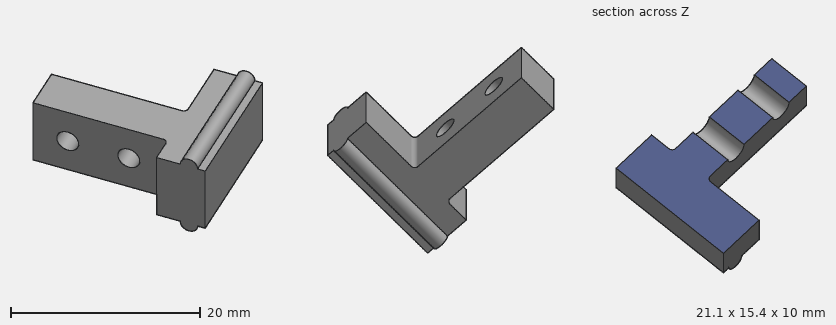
import cadquery as cq

length = 21.05
head_width = 15.45
overall_height = 10.0

ridge_diameter = 2.0
body_height = overall_height - ridge_diameter
head_thickness = 5.58
head_start = length - head_thickness
stem_width = 5.0
stem_front = 2.99
corner_fillet = 0.5

ridge_x = 19.18

hole_diameter = 2.5
first_hole_x = 4.0
hole_spacing = 7.0
hole_count = 2


def block(x_start, y_start, x_size, y_size):
    """Box of body height, centred on Z = 0."""
    return (
        cq.Workplane("XY")
        .box(x_size, y_size, body_height, centered=(False, False, True))
        .translate((x_start, y_start, 0))
    )


def cylinder_along_y(x, z, diameter):
    """Cylinder spanning the full head width."""
    return (
        cq.Workplane("XZ")
        .center(x, z)
        .circle(diameter / 2)
        .extrude(-head_width)
    )


stem = block(0, stem_front, length, stem_width)
head = block(head_start, 0, head_thickness, head_width)
inside_corners = cq.selectors.BoxSelector(
    (head_start - corner_fillet, stem_front - corner_fillet, -body_height),
    (head_start + corner_fillet, stem_front + stem_width + corner_fillet, body_height),
)
body = stem.union(head).edges("|Z").edges(inside_corners).fillet(corner_fillet)

for side in (1, -1):
    ridge = cylinder_along_y(ridge_x, side * body_height / 2, ridge_diameter)
    body = body.union(ridge)

for index in range(hole_count):
    hole_x = first_hole_x + index * hole_spacing
    body = body.cut(cylinder_along_y(hole_x, 0, hole_diameter))

result = body